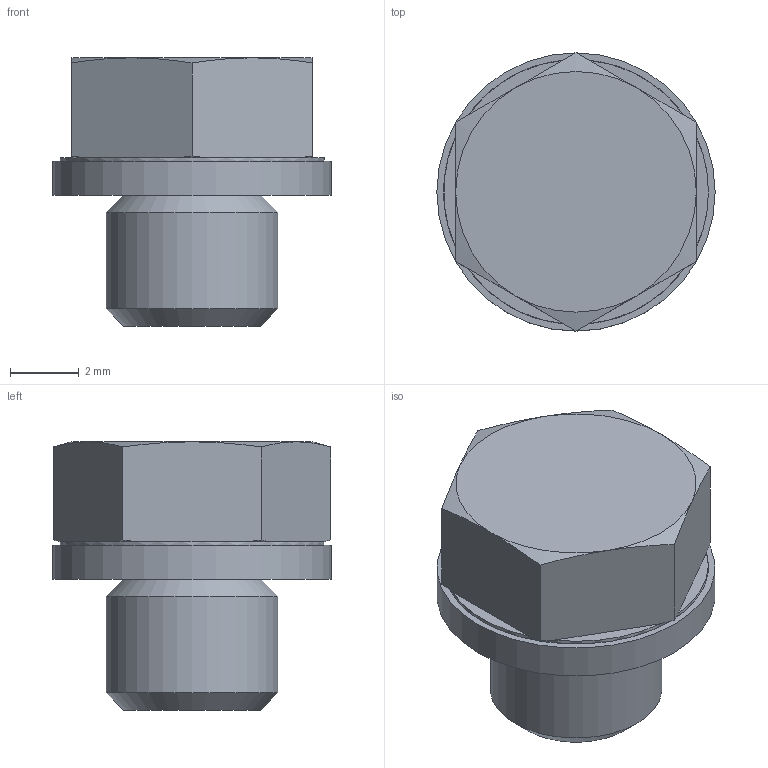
import cadquery as cq
import math

total_height = 7.8
shank_length = 3.8
flange_thickness = 1.0
neck_height = 0.1

across_flats = 7.0
flange_diameter = 8.09
neck_diameter = 7.7
shank_diameter = 5.0
shank_chamfer = 0.5

hex_sides = 6
half_side_angle = 180 / hex_sides
corner_slope = 15.0

flange_top = shank_length + flange_thickness
head_bottom = flange_top + neck_height
head_height = total_height - head_bottom
corner_radius = across_flats / 2 / math.cos(math.radians(half_side_angle))
crown_radius = across_flats / 2
neck_radius = neck_diameter / 2


def make_shank():
    """Round shank, tapered at the tip and where it meets the flange."""
    shank = cq.Workplane("XY").circle(shank_diameter / 2).extrude(shank_length)
    return shank.faces("<Z or >Z").chamfer(shank_chamfer)


def make_flange():
    """Sealing flange with the thin neck that carries the head."""
    flange = cq.Workplane("XY").workplane(offset=shank_length).circle(flange_diameter / 2)
    flange = flange.extrude(flange_thickness)
    return flange.faces(">Z").workplane().circle(neck_radius).extrude(neck_height)


def make_head():
    """Hexagon with two flats facing X, its corners trimmed by a cone at each end."""
    prism = (
        cq.Workplane("XY")
        .workplane(offset=head_bottom)
        .transformed(rotate=(0, 0, half_side_angle))
        .polygon(hex_sides, 2 * corner_radius)
        .extrude(head_height)
    )
    slope = math.tan(math.radians(corner_slope))
    crown_drop = (corner_radius - crown_radius) * slope
    base_rise = (corner_radius - neck_radius) * slope
    envelope = (
        cq.Workplane("XZ")
        .moveTo(0, head_bottom)
        .lineTo(neck_radius, head_bottom)
        .lineTo(corner_radius, head_bottom + base_rise)
        .lineTo(corner_radius, total_height - crown_drop)
        .lineTo(crown_radius, total_height)
        .lineTo(0, total_height)
        .close()
        .revolve(360, (0, 0, 0), (0, 1, 0))
    )
    return prism.intersect(envelope)


result = make_shank().union(make_flange()).union(make_head())